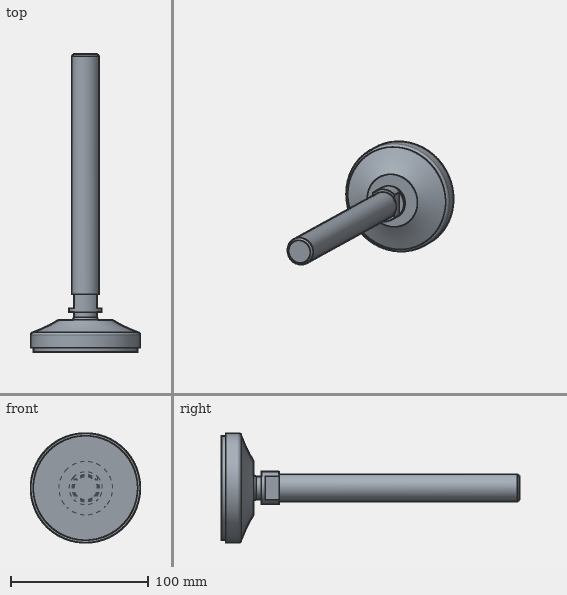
import cadquery as cq
import math

total_length = 217.0

pad_radius = 76.0 / 2
pad_height = 3.0

plate_radius = 80.0 / 2
rim_height = 9.5
rim_round = 2.0
crown_radius = 39.0 / 2
crown_y = 23.5
flank_hollow = 0.5

neck_radius = 17.0 / 2
neck_flare = 0.7
neck_flare_height = 2.0

collar_radius = 24.0 / 2
collar_length = 13.0
flat_width_across = 17.0
flat_length = 10.0

spindle_radius = 20.0 / 2
spindle_length = 175.0
spindle_chamfer = 1.6

rim_top_y = pad_height + rim_height
flank_foot_y = rim_top_y + rim_round
flank_foot_radius = plate_radius - rim_round
collar_top_y = total_length - spindle_length
collar_bottom_y = collar_top_y - collar_length
neck_flare_top_y = crown_y + neck_flare_height


def flank_midpoint():
    """Middle of the hollow flank: the chord midpoint pushed inwards, square to the chord."""
    run = flank_foot_radius - crown_radius
    rise = crown_y - flank_foot_y
    chord = math.hypot(run, rise)
    radius = (flank_foot_radius + crown_radius) / 2 - flank_hollow * rise / chord
    station = (flank_foot_y + crown_y) / 2 - flank_hollow * run / chord
    return radius, station


def make_turned_body():
    """Half profile (radius, station) of the whole foot, revolved about the Y axis."""
    round_offset = rim_round * math.sqrt(0.5)
    round_midpoint = (flank_foot_radius + round_offset, rim_top_y + round_offset)
    profile = (
        cq.Workplane("XY")
        .moveTo(0, 0)
        .lineTo(pad_radius, 0)
        .lineTo(pad_radius, pad_height)
        .lineTo(plate_radius, pad_height)
        .lineTo(plate_radius, rim_top_y)
        .threePointArc(round_midpoint, (flank_foot_radius, flank_foot_y))
        .threePointArc(flank_midpoint(), (crown_radius, crown_y))
        .lineTo(neck_radius + neck_flare, crown_y)
        .lineTo(neck_radius, neck_flare_top_y)
        .lineTo(neck_radius, collar_bottom_y)
        .lineTo(collar_radius, collar_bottom_y)
        .lineTo(collar_radius, collar_top_y)
        .lineTo(spindle_radius, collar_top_y)
        .lineTo(spindle_radius, total_length - spindle_chamfer)
        .lineTo(spindle_radius - spindle_chamfer, total_length)
        .lineTo(0, total_length)
        .close()
    )
    return profile.revolve(360, (0, 0, 0), (0, 1, 0))


def cut_wrench_flats(body):
    """Cut both flats into the collar, open towards the spindle."""
    flat_depth = collar_radius - flat_width_across / 2
    flat_center_x = collar_radius - flat_depth / 2
    flat_center_y = collar_top_y - flat_length / 2
    for side in (-1, 1):
        cutter = cq.Workplane("XY").box(flat_depth, flat_length, 2 * collar_radius)
        body = body.cut(cutter.translate((side * flat_center_x, flat_center_y, 0)))
    return body


result = cut_wrench_flats(make_turned_body())